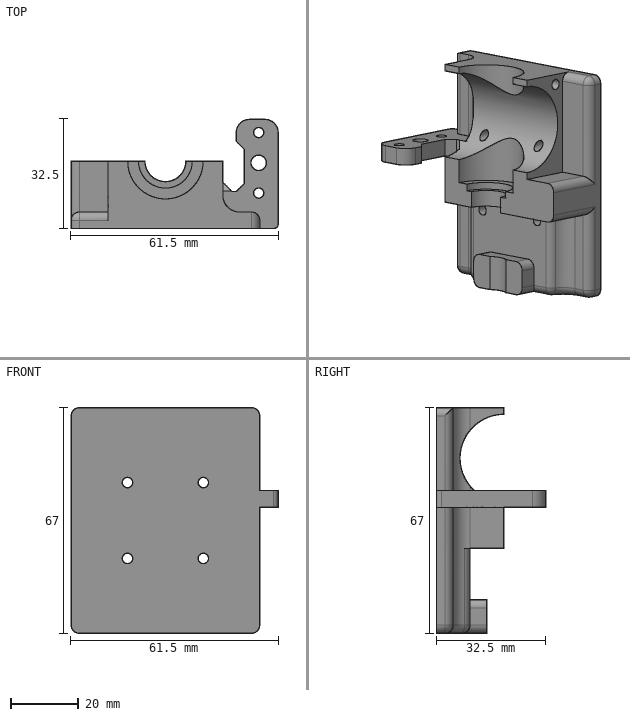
import cadquery as cq
import math

plate_width = 56.0
plate_height = 67.0
plate_thickness = 4.95
edge_radius = 2.5
half_width = plate_width / 2

core_half_width = 17.0
housing_depth = 20.0
housing_bottom = 25.25
plateau_depth = 10.0
flare_radius = plateau_depth - plate_thickness
flare_end = core_half_width + flare_radius

block_top = 37.0

cavity_radius = 13.0
cavity_height = 52.0

seat_radius = 11.2
seat_floor = 32.0
step_radius = 8.0
step_floor = 30.0
bore_radius = 6.0

mount_hole_diameter = 3.0
mount_hole_pitch = 22.5
mount_hole_height = 33.5
side_hole_diameter = 3.0
side_hole_y = 8.0
side_hole_z = 64.0
side_hole_length = 10.05

pad_half_width = 10.05
pad_height = 10.05
pad_depth = 15.0

arm_bottom = 37.4
arm_thickness = 5.0
arm_right = 33.5
arm_top = 32.5
arm_hook_left = 21.0
arm_corner_radius = 4.0
arm_front_radius = 1.5
notch_right = 23.4
notch_top = 23.6
notch_bottom = 13.4
notch_floor = 11.05
notch_bevel = notch_right - arm_hook_left
notch_floor_left = 19.75
arm_hole_x = 27.7
arm_hole_y = 19.55
arm_hole_pitch = 9.0
arm_hole_diameter = 2.95
arm_center_hole_diameter = 4.5


def box(x_min, x_max, y_min, y_max, z_min, z_max):
    size = (x_max - x_min, y_max - y_min, z_max - z_min)
    return cq.Workplane("XY").box(*size, centered=False).translate((x_min, y_min, z_min))


def bore(radius, floor):
    """Vertical cylinder on the rear face centreline, from its floor up to the top."""
    start = cq.Workplane("XY", origin=(0, housing_depth, floor))
    return start.circle(radius).extrude(plate_height - floor)


def make_plate():
    corners = box(-half_width, half_width, 0, plate_thickness, 0, plate_height)
    return corners.edges("|Y").fillet(edge_radius).faces(">Y").edges().fillet(edge_radius)


def make_plateau():
    """Lower body with concave flares at both sides and rounded rear edges."""
    body = (
        cq.Workplane("XY")
        .moveTo(-half_width, 0)
        .lineTo(half_width, 0)
        .lineTo(half_width, plate_thickness)
        .lineTo(flare_end, plate_thickness)
        .radiusArc((core_half_width, plateau_depth), flare_radius)
        .lineTo(-core_half_width, plateau_depth)
        .radiusArc((-flare_end, plate_thickness), flare_radius)
        .lineTo(-half_width, plate_thickness)
        .close()
        .extrude(housing_bottom)
    )
    outer_edges = [
        edge
        for edge in body.edges("|Z").vals()
        if edge.Center().y > edge_radius and not math.isclose(abs(edge.Center().x), flare_end)
    ]
    body = body.newObject(outer_edges).fillet(edge_radius)
    return body.edges("|Y").edges("<Z").fillet(edge_radius)


def make_right_flare():
    """Concave blend from the housing to the plate, cut off by the plate's rounded corner."""
    flare = (
        cq.Workplane("XY", origin=(0, 0, housing_bottom))
        .lineTo(half_width, 0)
        .lineTo(half_width, plate_thickness - edge_radius)
        .radiusArc((half_width - edge_radius, plate_thickness), -edge_radius)
        .lineTo(flare_end, plate_thickness)
        .radiusArc((core_half_width, plateau_depth), flare_radius)
        .lineTo(0, plateau_depth)
        .close()
        .extrude(plate_height - housing_bottom)
    )
    corner_limit = box(-half_width, half_width, 0, plateau_depth, 0, plate_height)
    return flare.intersect(corner_limit.edges("|Y").fillet(edge_radius))


def make_housing():
    return box(-core_half_width, core_half_width, 0, housing_depth, housing_bottom, plate_height)


def make_side_block():
    block = box(-half_width, 0, 0, housing_depth, housing_bottom, block_top)
    return block.edges("|Y and <X").fillet(edge_radius)


def make_pad():
    pad = box(-pad_half_width, pad_half_width, 0, pad_depth, 0, pad_height)
    return pad.edges("|Y").fillet(edge_radius)


def make_arm():
    """Flat hooked arm; its inner notch opens towards the housing."""
    floor_bevel = core_half_width - notch_floor_left
    arm = (
        cq.Workplane("XY", origin=(0, 0, arm_bottom))
        .lineTo(arm_right, 0)
        .lineTo(arm_right, arm_top)
        .lineTo(arm_hook_left, arm_top)
        .lineTo(arm_hook_left, notch_top + notch_bevel)
        .lineTo(notch_right, notch_top)
        .lineTo(notch_right, notch_bottom)
        .lineTo(arm_hook_left, notch_floor)
        .lineTo(notch_floor_left, notch_floor)
        .lineTo(core_half_width, notch_floor - floor_bevel)
        .lineTo(0, notch_floor - floor_bevel)
        .close()
        .extrude(arm_thickness)
    )
    arm = arm.edges("|Z and >Y").fillet(arm_corner_radius)
    return arm.edges("|Z and >X and <Y").fillet(arm_front_radius)


def make_cavity():
    """Round cavity, open at the rear face, from the left side to the left end of the notch floor."""
    start = cq.Workplane("YZ", origin=(-half_width, housing_depth, cavity_height))
    return start.circle(cavity_radius).extrude(half_width + notch_floor_left)


def make_arm_holes():
    plane = cq.Workplane("XY", origin=(arm_hole_x, arm_hole_y, arm_bottom))
    outer = [(0, -arm_hole_pitch), (0, arm_hole_pitch)]
    holes = plane.pushPoints(outer).circle(arm_hole_diameter / 2).extrude(arm_thickness)
    return holes.union(plane.circle(arm_center_hole_diameter / 2).extrude(arm_thickness))


def make_mount_holes():
    plane = cq.Workplane("XZ", origin=(0, 0, mount_hole_height))
    grid = plane.rarray(mount_hole_pitch, mount_hole_pitch, 2, 2)
    return grid.circle(mount_hole_diameter / 2).extrude(-housing_depth)


def make_side_hole():
    plane = cq.Workplane("YZ", origin=(-core_half_width, side_hole_y, side_hole_z))
    return plane.circle(side_hole_diameter / 2).extrude(side_hole_length)


result = (
    make_plate()
    .union(make_plateau())
    .union(make_right_flare())
    .union(make_housing())
    .union(make_side_block())
    .union(make_pad())
    .union(make_arm())
    .cut(make_cavity())
    .cut(bore(seat_radius, seat_floor))
    .cut(bore(step_radius, step_floor))
    .cut(bore(bore_radius, 0))
    .cut(make_arm_holes())
    .cut(make_mount_holes())
    .cut(make_side_hole())
)